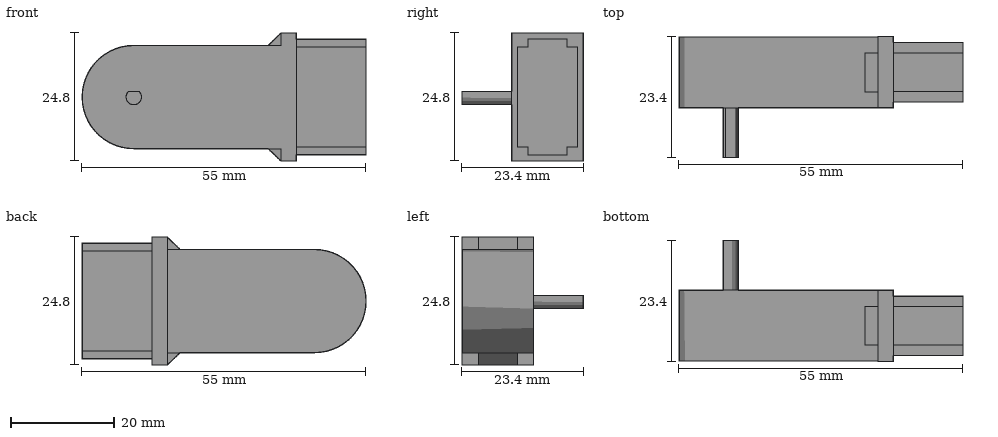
import cadquery as cq

total_length = 55.0

nose_radius = 10.0
body_thickness = 13.75

flange_width = 13.85
flange_height = 24.8
flange_length = 2.95

plug_length = 13.55
plug_width = 11.55
plug_side_height = 19.35
plug_ridge_width = 7.5
plug_height = 22.4
plug_centre_y = flange_width / 2

wedge_length = 2.5
wedge_width = 7.5
wedge_centre_y = body_thickness / 2

shaft_radius = 1.5
shaft_length = 9.6
shaft_flat_height = 1.1

flange_end = total_length - plug_length
flange_start = flange_end - flange_length


def centred_block(x_start, length, width, height):
    """Box running along +X, centred on the plug axis."""
    return (
        cq.Workplane("XY")
        .box(length, width, height, centered=(False, True, True))
        .translate((x_start, plug_centre_y, 0))
    )


def make_body():
    return (
        cq.Workplane("XZ")
        .moveTo(nose_radius, nose_radius)
        .lineTo(flange_start, nose_radius)
        .lineTo(flange_start, -nose_radius)
        .lineTo(nose_radius, -nose_radius)
        .threePointArc((0, 0), (nose_radius, nose_radius))
        .close()
        .extrude(-body_thickness)
    )


def make_wedge(side):
    """Triangular brace above (side = 1) or below (side = -1) the body."""
    return (
        cq.Workplane("XZ", origin=(0, wedge_centre_y, 0))
        .moveTo(flange_start - wedge_length, side * nose_radius)
        .lineTo(flange_start, side * nose_radius)
        .lineTo(flange_start, side * flange_height / 2)
        .close()
        .extrude(wedge_width / 2, both=True)
    )


def make_shaft():
    half_flat = (shaft_radius**2 - shaft_flat_height**2) ** 0.5
    return (
        cq.Workplane("XZ", origin=(nose_radius, 0, 0))
        .moveTo(-half_flat, shaft_flat_height)
        .threePointArc((0, -shaft_radius), (half_flat, shaft_flat_height))
        .close()
        .extrude(shaft_length)
    )


result = make_body()
result = result.union(centred_block(flange_start, flange_length, flange_width, flange_height))
result = result.union(centred_block(flange_end, plug_length, plug_width, plug_side_height))
result = result.union(centred_block(flange_end, plug_length, plug_ridge_width, plug_height))
for side in (1, -1):
    result = result.union(make_wedge(side))
result = result.union(make_shaft())